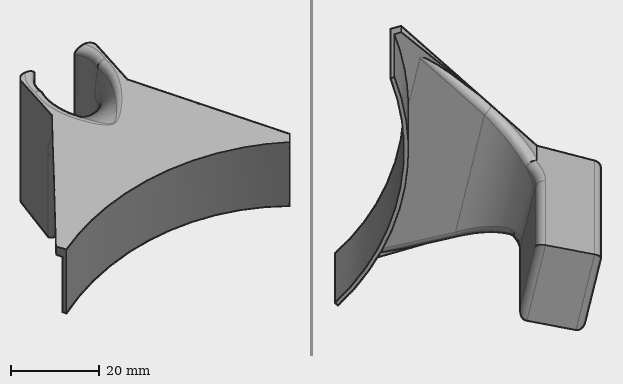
import cadquery as cq
import math

post_depth = 15.2
post_width = 20.0
edge_radius = 1.9

front_height = 44.0
total_height = 51.3
total_length = 53.4
top_slope = (total_height - front_height) / total_length
slope_angle = math.atan(top_slope)

plate_drop = 2.25
bend_radius = 15.5

wing_tip_x = 51.25
half_span = 31.05
inner_tip_half_span = 29.6
hollow_x = 45.15

skirt_thickness = 1.0
skirt_bottom = 27.95
rim_bottom = 48.0

bore_radius = 7.45
bore_x = 5.3
bore_floor = 2.0
rim_radius = 1.9

bend_end_x = post_depth + bend_radius * (1 - math.sin(slope_angle))
bend_end_z = front_height + top_slope * bend_end_x - plate_drop
post_end_x = bend_end_x + 6.2
bend_x = post_depth + bend_radius
bend_z = bend_end_z - bend_radius * math.cos(slope_angle)
bend_mid_angle = (math.pi / 2 + slope_angle + math.pi) / 2
bend_mid = (
    bend_x + bend_radius * math.cos(bend_mid_angle),
    bend_z + bend_radius * math.sin(bend_mid_angle),
)

hollow_depth = total_length - hollow_x
hollow_radius = (inner_tip_half_span**2 + hollow_depth**2) / (2 * hollow_depth)
hollow_center_x = hollow_x + hollow_radius
wing_slope = (half_span - post_width / 2) / (wing_tip_x - post_depth)
wing_root_x = bore_x
wing_root_z = bend_z - 6.2


def top_z(x):
    return front_height + top_slope * x


def side_body(end_x, width, bottom):
    """Post, bend and sloping plate as one constant-width body."""
    return (
        cq.Workplane("XZ")
        .moveTo(0, bottom)
        .lineTo(post_depth, bottom)
        .lineTo(post_depth, bend_z)
        .threePointArc(bend_mid, (bend_end_x, bend_end_z))
        .lineTo(end_x, top_z(end_x) - plate_drop)
        .lineTo(end_x, top_z(end_x))
        .lineTo(0, front_height)
        .close()
        .extrude(width / 2, both=True)
    )


def wing_plan(height):
    """Plan of the wings, their edges running forward into the post."""
    root_half_width = half_span - wing_slope * (wing_tip_x - wing_root_x)
    return (
        cq.Workplane("XY")
        .moveTo(wing_root_x, root_half_width)
        .lineTo(wing_root_x, -root_half_width)
        .lineTo(wing_tip_x, -half_span)
        .lineTo(total_length, -inner_tip_half_span)
        .lineTo(total_length, inner_tip_half_span)
        .lineTo(wing_tip_x, half_span)
        .close()
        .extrude(height)
    )


def make_post():
    body = side_body(post_end_x, post_width, 0)
    front_edges = body.faces("<X").edges("|Z or <Z").vals()
    back_edges = body.edges(cq.selectors.BoxSelector(
        (post_depth - 0.6, -post_width, -0.6), (post_depth + 0.6, post_width, bend_z)
    )).vals()
    return body.newObject(front_edges + back_edges).fillet(edge_radius)


def make_wings():
    """Sloping plate cut to the wing plan, with rounded lower side edges."""
    body = side_body(total_length, 2 * half_span, wing_root_z).intersect(wing_plan(total_height))
    bend_edges = body.edges("%ELLIPSE").edges(cq.selectors.BoxSelector(
        (post_depth, -half_span, bend_z), (bend_end_x, half_span, top_z(bend_end_x))
    ))
    return bend_edges.fillet(edge_radius)


def top_trim():
    """Everything below the sloping top plane."""
    return (
        cq.Workplane("XZ")
        .polyline([(0, 0), (total_length, 0), (total_length, total_height), (0, front_height)])
        .close()
        .extrude(half_span, both=True)
    )


def make_rim():
    """Flat-bottomed wedge that thickens the wing tips."""
    above_rim = wing_plan(total_height).intersect(
        cq.Workplane("XY").workplane(offset=rim_bottom)
        .rect(2 * total_length, 2 * half_span).extrude(total_height - rim_bottom)
    )
    return above_rim.intersect(top_trim())


def make_skirt():
    disc = (
        cq.Workplane("XY").workplane(offset=skirt_bottom)
        .center(hollow_center_x, 0)
        .circle(hollow_radius + skirt_thickness)
        .extrude(total_height - skirt_bottom)
    )
    return disc.intersect(wing_plan(total_height)).intersect(top_trim())


def straight_bore():
    return (
        cq.Workplane("XY").workplane(offset=bore_floor)
        .center(bore_x, 0).circle(bore_radius).extrude(total_height)
    )


def curved_bore():
    """Quarter bend of the bore, concentric with the bend behind the post."""
    return (
        cq.Workplane("XY").workplane(offset=bend_z)
        .center(bore_x, 0).circle(bore_radius)
        .revolve(90, (bend_x - bore_x, 0), (bend_x - bore_x, 1))
    )


def make_hollow():
    """Cylinder that shapes the concave end of the wings and skirt."""
    return (
        cq.Workplane("XY").center(hollow_center_x, 0)
        .circle(hollow_radius).extrude(2 * total_height)
    )


body = make_wings().union(make_rim()).union(make_skirt()).cut(make_hollow())
body = body.union(make_post())
body = body.cut(curved_bore()).cut(straight_bore())

bore_mouth = body.edges(cq.selectors.BoxSelector(
    (0, -bore_radius, front_height), (bend_x, bore_radius, total_height)
)).edges("%ELLIPSE or %BSPLINE")
result = bore_mouth.fillet(rim_radius)